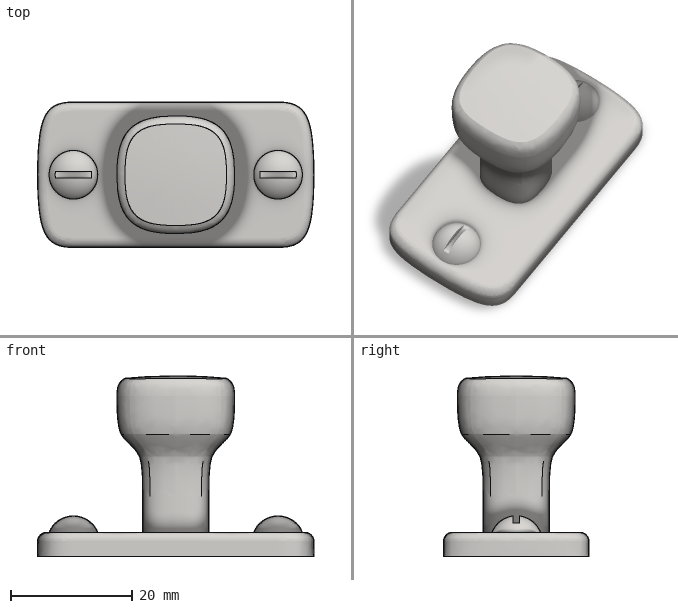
import cadquery as cq
import math

plate_length = 45.65
plate_width = 24.0
plate_height = 4.0
plate_fillet = 1.5
straight_length = 33.95
bow_outer_handle = 1.3
bow_inner_handle = (3.2 - bow_outer_handle) / 2
bow_flatness = 0.5

screw_x = 16.9
screw_head_radius = 4.0
screw_head_height = 2.75
slot_width = 1.0
slot_depth = 1.25

knob_height = 29.85
stem_half_width = 5.5
stem_top = 10.05
neck_half_width = 6.0
neck_top = 16.5
flare_half_width = 9.0
flare_top = 20.2
head_half_width = 9.72
head_top = 26.48
crown_half_width = 7.55
knob_fullness = 0.74
dome_edge_half_width = 8.0
dome_rise = 0.35
sections_per_band = 7

knob_bands = [
    [
        (stem_half_width, stem_top),
        (stem_half_width, 12.8),
        (stem_half_width, 15.05),
        (neck_half_width, neck_top),
    ],
    [(neck_half_width, neck_top), (6.55, 18.0), (8.25, 18.9), (flare_half_width, flare_top)],
    [(flare_half_width, flare_top), (9.7, 21.45), (head_half_width, 24.2), (head_half_width, head_top)],
    [(head_half_width, head_top), (head_half_width, 28.55), (9.2, 29.15), (crown_half_width, knob_height)],
]


def make_plate():
    """Plate with bowed ends and a rounded upper edge."""
    x_side = straight_length / 2
    y_side = plate_width / 2
    bow = plate_length / 2 - x_side
    x_outer = x_side + bow_outer_handle * bow
    x_inner = x_side + bow_inner_handle * bow
    y_inner = bow_flatness * y_side
    end = [(x_outer, -y_side), (x_inner, -y_inner), (x_inner, y_inner), (x_outer, y_side), (x_side, y_side)]
    outline = (
        cq.Workplane("XY")
        .moveTo(-x_side, -y_side)
        .lineTo(x_side, -y_side)
        .bezier(end, includeCurrent=True)
        .lineTo(-x_side, y_side)
        .bezier([(-x, -y) for x, y in end], includeCurrent=True)
        .close()
    )
    return outline.extrude(plate_height).faces(">Z").edges().fillet(plate_fillet)


def rounded_square(half_width, height):
    """Closed outline of eight Bezier curves, each from a side middle to a corner or back."""
    k = knob_fullness
    corner = (4 + 3 * k) / 8
    rising = [(1, 0), (1, k / 2), ((3 + k) / 4, (1 + 2 * k) / 4), (corner, corner)]
    falling = [(y, x) for x, y in reversed(rising)]
    edges = []
    for quarter in range(4):
        for curve in (rising, falling):
            points = [cq.Vector(half_width * x, half_width * y, height) for x, y in curve]
            edge = cq.Edge.makeBezier(points)
            edges.append(edge.rotate(cq.Vector(0, 0, 0), cq.Vector(0, 0, 1), 90 * quarter))
    return cq.Wire.assembleEdges(edges)


def bezier_point(controls, t):
    """Point at parameter t on the cubic Bezier with the given control points."""
    weights = [(1 - t) ** 3, 3 * t * (1 - t) ** 2, 3 * t**2 * (1 - t), t**3]
    return [sum(w * c[axis] for w, c in zip(weights, controls)) for axis in (0, 1)]


def make_band(controls):
    """Loft of rounded squares that follow one side profile."""
    last = sections_per_band - 1
    wires = [rounded_square(*bezier_point(controls, i / last)) for i in range(sections_per_band)]
    return cq.Workplane(cq.Solid.makeLoft(wires))


def make_knob():
    """Straight stem and lofted bands, topped by a shallow dome."""
    stem_ends = [rounded_square(stem_half_width, height) for height in (0, stem_top)]
    knob = cq.Workplane(cq.Solid.makeLoft(stem_ends, True))
    for controls in knob_bands:
        knob = knob.union(make_band(controls))
    dome_radius = (dome_edge_half_width**2 + dome_rise**2) / (2 * dome_rise)
    dome = cq.Workplane("XY").sphere(dome_radius).translate((0, 0, knob_height - dome_radius))
    return knob.intersect(dome)


def make_screw_head(x):
    """Spherical cap standing on the plate, with a straight driver slot."""
    ball_radius = (screw_head_radius**2 + screw_head_height**2) / (2 * screw_head_height)
    screw_top = plate_height + screw_head_height
    ball = cq.Workplane("XY").sphere(ball_radius).translate((0, 0, screw_top - ball_radius))
    above_plate = (
        cq.Workplane("XY")
        .workplane(offset=plate_height)
        .rect(2 * ball_radius, 2 * ball_radius)
        .extrude(screw_head_height)
    )
    slot = (
        cq.Workplane("XY")
        .workplane(offset=screw_top - slot_depth)
        .rect(2 * ball_radius, slot_width)
        .extrude(slot_depth)
    )
    return ball.intersect(above_plate).cut(slot).translate((x, 0, 0))


result = make_plate().union(make_knob())
for x in (-screw_x, screw_x):
    result = result.union(make_screw_head(x))